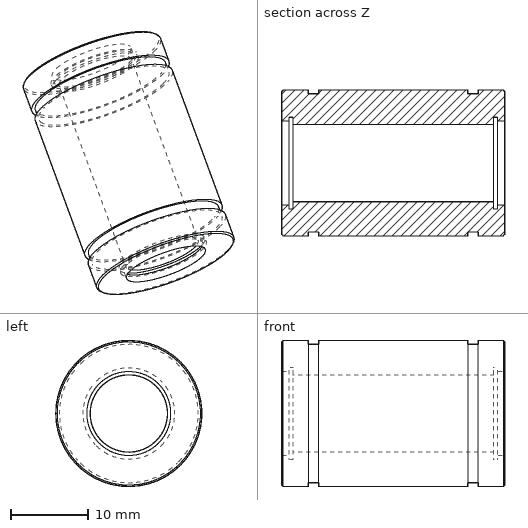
import cadquery as cq

length = 29.0
outer_diameter = 19.0
bore_diameter = 10.0
edge_chamfer = 0.2

groove_diameter = 18.0
groove_width = 1.3
groove_outer_span = 22.0

mouth_diameter = 10.9
mouth_depth = 1.0
undercut_diameter = 11.9
undercut_width = 0.5


def cylinder_along_x(diameter, start, width):
    """Solid cylinder on the X axis, from x = start to x = start + width."""
    return cq.Workplane("YZ").workplane(offset=start).circle(diameter / 2).extrude(width)


def ring_groove(start):
    """Ring of material that is removed to form one groove."""
    outside = cylinder_along_x(outer_diameter, start, groove_width)
    return outside.cut(cylinder_along_x(groove_diameter, start, groove_width))


half_length = length / 2
half_span = groove_outer_span / 2

sleeve = cylinder_along_x(outer_diameter, -half_length, length)
sleeve = sleeve.faces("<X or >X").chamfer(edge_chamfer)
sleeve = sleeve.cut(cylinder_along_x(bore_diameter, -half_length, length))

mouth = cylinder_along_x(mouth_diameter, -half_length, mouth_depth)
undercut = cylinder_along_x(undercut_diameter, -half_length + mouth_depth, undercut_width)
left_recess = mouth.union(undercut)

for groove_start in (-half_span, half_span - groove_width):
    sleeve = sleeve.cut(ring_groove(groove_start))

for end_recess in (left_recess, left_recess.mirror("YZ")):
    sleeve = sleeve.cut(end_recess)

result = sleeve